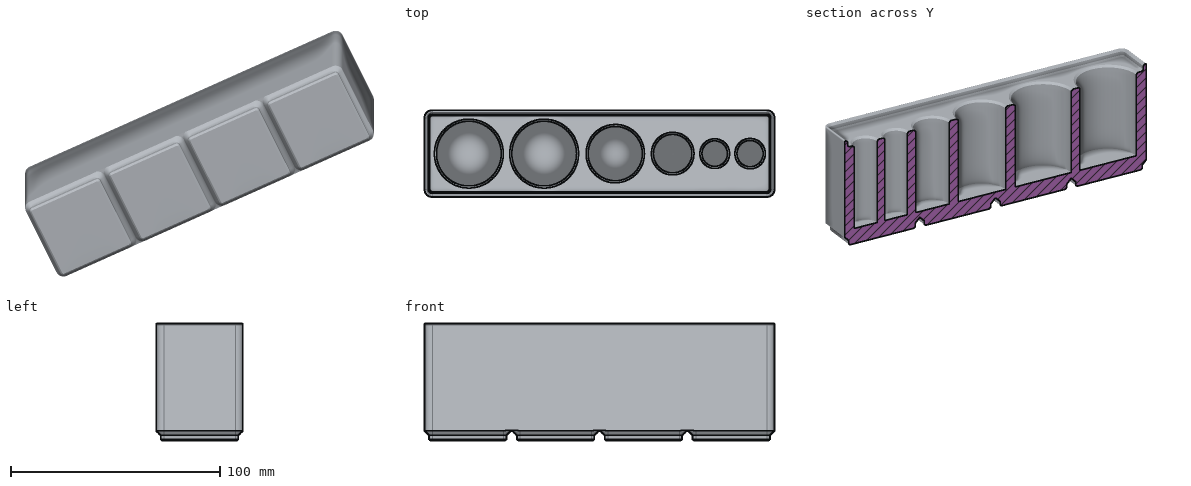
import cadquery as cq
import math

length = 167.5
width = 41.5
height = 56.1
corner_radius = 3.7

foot_count = 4
clearance = 0.25
foot_pitch = (length + 2 * clearance) / foot_count
foot_height = 5.0
foot_lower_flare = 0.8
foot_band_inset = 2.2
foot_upper_flare = foot_band_inset + clearance
foot_band = foot_height - foot_lower_flare - foot_upper_flare

rim_lower_flare = 0.75
rim_band = 1.8
rim_upper_flare = 1.8
rim_fillet = 0.6
sharp_rim_z = height + rim_fillet * math.sqrt(2)
floor_z = sharp_rim_z - rim_upper_flare - rim_band - rim_lower_flare

holes = [
    (-62.5, 31.0),
    (-26.5, 31.0),
    (7.5, 26.0),
    (35.0, 18.5),
    (55.1, 12.2),
    (72.0, 12.5),
]
hole_chamfer = 1.0
hole_floor_z = 8.4


def rounded_prism(inset, x_size, bottom, depth):
    """Rounded rectangle, offset inward from the x_size by width outline, and extruded upward."""
    return (
        cq.Workplane("XY", origin=(0, 0, bottom))
        .rect(x_size - 2 * inset, width - 2 * inset)
        .extrude(depth)
        .edges("|Z")
        .fillet(corner_radius - inset)
    )


def rounded_frustum(inset, x_size, bottom, flare):
    """Rounded prism that widens upward at 45 degrees by the flare distance."""
    base = rounded_prism(inset, x_size, bottom, flare).faces("<Z").wires().val()
    top = rounded_prism(inset - flare, x_size, bottom, flare).faces(">Z").wires().val()
    return cq.Workplane(cq.Solid.makeLoft([base, top], True))


def stepped_stack(top_inset, x_size, bottom, lower_flare, band, upper_flare):
    """Lower flare, straight band and upper flare, stacked upward to the outline at top_inset."""
    band_inset = top_inset + upper_flare
    band_bottom = bottom + lower_flare
    return (
        rounded_frustum(band_inset + lower_flare, x_size, bottom, lower_flare)
        .union(rounded_prism(band_inset, x_size, band_bottom, band))
        .union(rounded_frustum(band_inset, x_size, band_bottom + band, upper_flare))
    )


def make_hole(x, diameter):
    """Blind round hole with a chamfered mouth at the recessed top face."""
    depth = floor_z - hole_floor_z
    bore = cq.Workplane("XY", origin=(x, 0, hole_floor_z)).circle(diameter / 2).extrude(depth)
    mouth = cq.Solid.makeCone(
        diameter / 2,
        diameter / 2 + hole_chamfer,
        hole_chamfer,
        pnt=cq.Vector(x, 0, floor_z - hole_chamfer),
    )
    return bore.union(cq.Workplane(mouth))


recess = stepped_stack(0, length, floor_z, rim_lower_flare, rim_band, rim_upper_flare)
block = rounded_prism(0, length, foot_height, sharp_rim_z - foot_height).cut(recess)
result = block.edges(">Z").fillet(rim_fillet)

foot_length = foot_pitch - 2 * clearance
foot = stepped_stack(-clearance, foot_length, 0, foot_lower_flare, foot_band, foot_upper_flare)
foot_envelope = rounded_prism(0, length, 0, foot_height)
for index in range(foot_count):
    foot_x = (index - (foot_count - 1) / 2) * foot_pitch
    result = result.union(foot.translate((foot_x, 0, 0)).intersect(foot_envelope))

for hole_x, hole_diameter in holes:
    result = result.cut(make_hole(hole_x, hole_diameter))